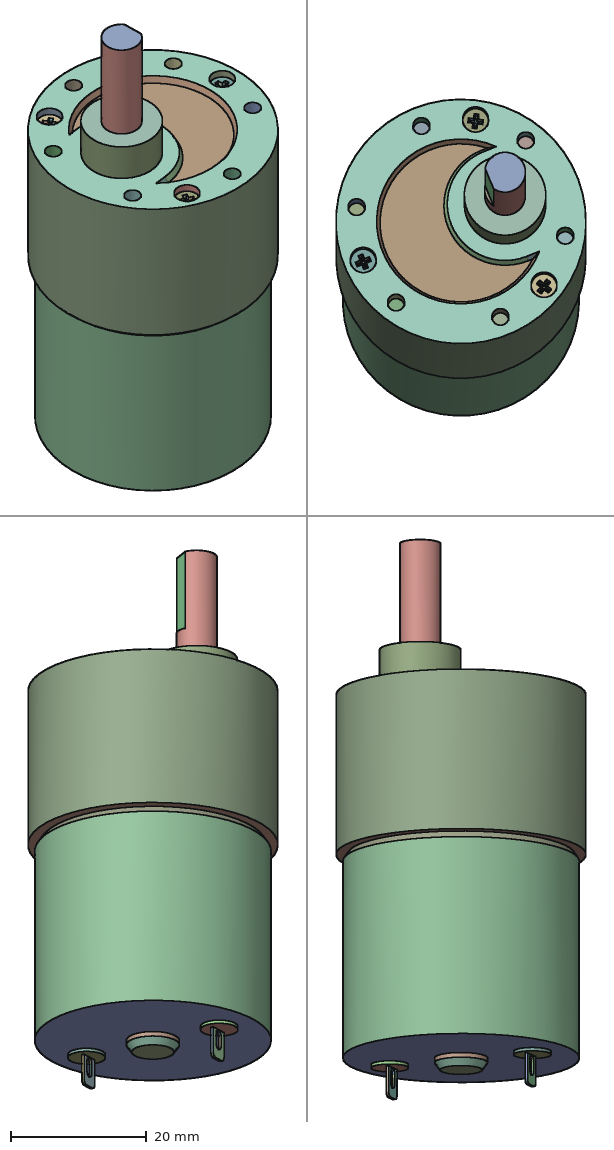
import cadquery as cq
import math


gearbox_diameter = 36.8
gearbox_length = 24.0
motor_diameter = 34.8
motor_length = 30.6
motor_neck_diameter = 33.4
motor_shoulder_height = 1.0
motor_end_z = -gearbox_length - motor_length

shaft_offset_y = -7.0
shaft_boss_diameter = 12.0
shaft_boss_height = 6.0
shaft_diameter = 6.0
shaft_length = 16.0
shaft_flat_length = 12.0
shaft_flat_depth = 0.5

recess_diameter = 24.8
recess_island_diameter = 17.0
recess_depth = 1.0
recess_wall_inset = 0.5

bolt_circle_radius = 15.5
mounting_hole_count = 6
mounting_hole_diameter = 2.5
mounting_hole_depth = 3.0
screw_count = 3
screw_first_angle = 90.0
screw_recess_diameter = 3.8
screw_recess_depth = 1.2
cross_length = 2.2
cross_width = 0.7
cross_depth = 0.6
cross_wall_taper = 20.0

cap_diameter = 7.8
cap_end_diameter = 6.2
cap_height = 1.8
cap_rim_height = 0.7

terminal_angles = (35.0, 215.0)
terminal_radius = 11.2
terminal_length = 5.1
terminal_width = 3.0
terminal_thickness = 0.4
terminal_corner_radius = 0.7
insulator_diameter = 5.5
insulator_radius = 11.5
insulator_thickness = 0.5
eyelet_length = 2.9
eyelet_width = 1.4
eyelet_gap = 0.15


def cylinder(diameter, height, base_z, x=0.0, y=0.0):
    """Upright cylinder standing on base_z."""
    return cq.Workplane("XY", origin=(x, y, base_z)).circle(diameter / 2).extrude(height)


def cone_frustum(bottom_radius, top_radius, height, base_z, y=0.0):
    """Upright frustum standing on base_z."""
    solid = cq.Solid.makeCone(bottom_radius, top_radius, height, pnt=cq.Vector(0, y, base_z))
    return cq.Workplane(obj=solid)


def polar_point(radius, angle):
    """X and Y of a point at the given radius and angle in degrees."""
    return radius * math.cos(math.radians(angle)), radius * math.sin(math.radians(angle))


def make_housing():
    """Gearbox cylinder with the motor can and its sloping shoulder below."""
    gearbox = cylinder(gearbox_diameter, gearbox_length, -gearbox_length)
    can = cylinder(motor_diameter, motor_length - motor_shoulder_height, motor_end_z)
    shoulder = cone_frustum(
        motor_diameter / 2,
        motor_neck_diameter / 2,
        motor_shoulder_height,
        -gearbox_length - motor_shoulder_height,
    )
    return gearbox.union(can).union(shoulder)


def make_output_shaft():
    """Shaft boss and shaft, with the flat running to the shaft end."""
    boss = cylinder(shaft_boss_diameter, shaft_boss_height, 0, y=shaft_offset_y)
    shaft = cylinder(shaft_diameter, shaft_length, shaft_boss_height, y=shaft_offset_y)
    flat_start_z = shaft_boss_height + shaft_length - shaft_flat_length
    flat_y = shaft_offset_y + shaft_diameter / 2 - shaft_flat_depth
    flat = (
        cq.Workplane("XY", origin=(0, flat_y, flat_start_z))
        .rect(shaft_diameter, 2 * shaft_flat_depth)
        .extrude(shaft_flat_length)
        .translate((0, shaft_flat_depth, 0))
    )
    return boss.union(shaft.cut(flat))


def make_crescent_recess():
    """Tapered round pocket minus the tapered U-shaped island that carries the shaft."""
    pocket_radius = recess_diameter / 2
    island_top = recess_island_diameter / 2
    island_base = island_top + recess_wall_inset
    pocket = cone_frustum(pocket_radius - recess_wall_inset, pocket_radius, recess_depth, -recess_depth)
    island = cone_frustum(island_base, island_top, recess_depth, -recess_depth, shaft_offset_y)
    island_tail = (
        cq.Workplane("XZ", origin=(0, shaft_offset_y, 0))
        .polyline(
            [
                (-island_base, -recess_depth),
                (island_base, -recess_depth),
                (island_top, 0),
                (-island_top, 0),
            ]
        )
        .close()
        .extrude(pocket_radius)
    )
    return pocket.cut(island).cut(island_tail)


def make_mounting_hole(angle):
    """Blind hole in the mounting face."""
    x, y = polar_point(bolt_circle_radius, angle)
    return cylinder(mounting_hole_diameter, mounting_hole_depth, -mounting_hole_depth, x, y)


def make_screw_recess(angle):
    """Round recess with the tapered cross slot of the screw head in its floor."""
    x, y = polar_point(bolt_circle_radius, angle)
    recess = cylinder(screw_recess_diameter, screw_recess_depth, -screw_recess_depth, x, y)
    for turn in (0, 90):
        slot = (
            cq.Workplane("XY")
            .rect(cross_length, cross_width)
            .extrude(-cross_depth, taper=cross_wall_taper)
            .rotate((0, 0, 0), (0, 0, 1), angle + turn)
            .translate((x, y, -screw_recess_depth))
        )
        recess = recess.union(slot)
    return recess


def make_rear_cap():
    """Bearing cap: a short cylindrical rim, then a cone narrowing to the flat end."""
    rim = cylinder(cap_diameter, cap_rim_height, motor_end_z - cap_rim_height)
    cone_height = cap_height - cap_rim_height
    cone = cone_frustum(cap_end_diameter / 2, cap_diameter / 2, cone_height, motor_end_z - cap_height)
    return rim.union(cone)


def make_terminal(angle):
    """Round insulator and an upright tab, facing radially, with a slotted eyelet."""
    insulator = cylinder(insulator_diameter, insulator_thickness, -insulator_thickness, x=insulator_radius)
    tab = (
        cq.Workplane("XY")
        .box(terminal_thickness, terminal_width, terminal_length, centered=(True, True, False))
        .edges("<Z and |X")
        .fillet(terminal_corner_radius)
        .translate((terminal_radius, 0, -terminal_length))
    )
    eyelet_z = -insulator_thickness - eyelet_gap - eyelet_length / 2
    eyelet = (
        cq.Workplane("YZ", origin=(terminal_radius, 0, eyelet_z))
        .slot2D(eyelet_length, eyelet_width, 90)
        .extrude(terminal_thickness, both=True)
    )
    terminal = insulator.union(tab.cut(eyelet))
    return terminal.rotate((0, 0, 0), (0, 0, 1), angle).translate((0, 0, motor_end_z))


result = make_housing().cut(make_crescent_recess())
for index in range(mounting_hole_count):
    result = result.cut(make_mounting_hole(index * 360 / mounting_hole_count))
for index in range(screw_count):
    result = result.cut(make_screw_recess(screw_first_angle + index * 360 / screw_count))
result = result.union(make_output_shaft()).union(make_rear_cap())
for terminal_angle in terminal_angles:
    result = result.union(make_terminal(terminal_angle))